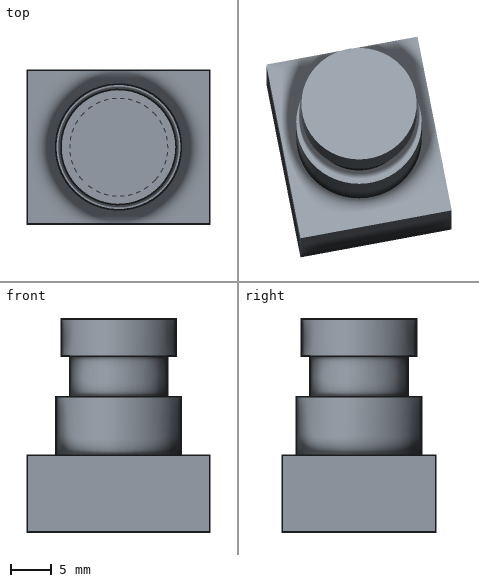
import cadquery as cq

total_height = 26.3
base_length = 22.5
base_width = 19.0

base_height = 9.5
collar_height = 7.2
neck_height = 5.0
head_height = total_height - base_height - collar_height - neck_height

collar_diameter = 15.5
neck_diameter = 12.1
head_diameter = 14.2


def add_cylinder(body, diameter, height):
    """Stack a coaxial cylinder on the top face of the body."""
    return body.faces(">Z").workplane(origin=(0, 0, 0)).circle(diameter / 2).extrude(height)


result = cq.Workplane("XY").box(base_length, base_width, base_height, centered=(True, True, False))

result = add_cylinder(result, collar_diameter, collar_height)
result = add_cylinder(result, neck_diameter, neck_height)
result = add_cylinder(result, head_diameter, head_height)